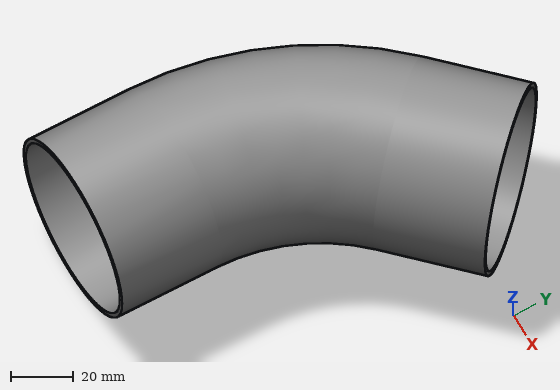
import cadquery as cq
import math

overall_length = 152.5
outer_diameter = 63.5
inner_diameter = 60.2
bend_radius = 95.2
bend_angle = 45.0

sin_bend = math.sin(math.radians(bend_angle))
cos_bend = math.cos(math.radians(bend_angle))
bend_and_rim_length = (bend_radius + outer_diameter / 2) * sin_bend
straight_length = (overall_length - bend_and_rim_length) / (1 + cos_bend)

bend_start = (0, straight_length, 0)
bend_end = (bend_radius * (1 - cos_bend), straight_length + bend_radius * sin_bend, 0)
entry_direction = (0, 1, 0)
exit_direction = (sin_bend, cos_bend, 0)

entry_plane = cq.Plane(origin=(0, 0, 0), xDir=(1, 0, 0), normal=entry_direction)
bend_plane = cq.Plane(origin=bend_start, xDir=(1, 0, 0), normal=entry_direction)
exit_plane = cq.Plane(origin=bend_end, xDir=(0, 0, 1), normal=exit_direction)


def tube_section(plane):
    """Cross-section of the tube wall, centred on the given plane."""
    return cq.Workplane(plane).circle(outer_diameter / 2).circle(inner_diameter / 2)


entry_tube = tube_section(entry_plane).extrude(straight_length)

bend = tube_section(bend_plane).revolve(bend_angle, (bend_radius, 0, 0), (bend_radius, 1, 0))

exit_tube = tube_section(exit_plane).extrude(straight_length)

result = entry_tube.union(bend).union(exit_tube)